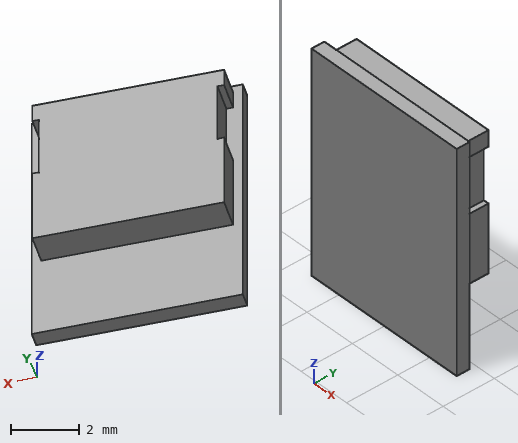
import cadquery as cq

plate_width = 6.4
plate_height = 8.4
plate_thickness = 0.5

can_side_inset = 0.29
can_top_inset = 0.24
can_height = 5.3
can_depth = 1.0
can_width = plate_width - 2 * can_side_inset

notch_depth = 0.2
notch_height = 2.1
notch_top_offset = 0.61

can_top = plate_height - can_top_inset
notch_top = can_top - notch_top_offset


def block(width, depth, height, y_start, z_top):
    """Box centred on X, starting at y_start in Y and hanging down from z_top."""
    return (
        cq.Workplane("XY")
        .box(width, depth, height, centered=(True, False, False))
        .translate((0, y_start, z_top - height))
    )


plate = block(plate_width, plate_thickness, plate_height, 0, plate_height)
can = block(can_width, can_depth, can_height, plate_thickness, can_top)

for side in (-1, 1):
    notch = block(2 * notch_depth, can_depth, notch_height, plate_thickness, notch_top)
    can = can.cut(notch.translate((side * can_width / 2, 0, 0)))

result = plate.union(can)